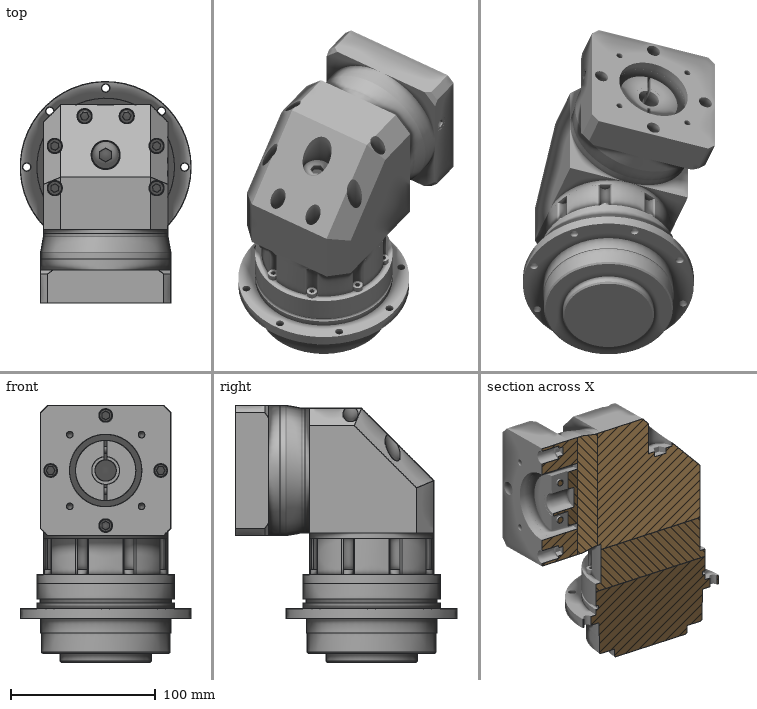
import cadquery as cq
import math


BLOCK_HALF = 43.0
BEVEL_SUM = 36.0
BLOCK_CHAMFER = 12.0
OUTPUT_COLLAR = 4.0
INPUT_COLLAR = 3.0
COLLAR_RADIUS = BLOCK_HALF
PLUG_Y = 8.3
PLUG_DIAMETER = 20.0
PLUG_SOCKET = 8.2
PLUG_TOP_Z = 15.0
HOUSING_SCREW_CIRCLE = 38.0
HOUSING_SCREW_DIAMETER = 10.4
HOUSING_SCREW_TOP_Z = -20.0
INPUT_SIDE_ANGLE = 270.0

RING_TOP_Z = -BLOCK_HALF - OUTPUT_COLLAR
RING_LEDGE_Z = -71.9
RING_BOTTOM_Z = -78.0
SEAL_GROOVE_TOP_Z = -88.8
SEAL_GROOVE_BOTTOM_Z = -91.3
FLANGE_TOP_Z = -95.3
FLANGE_BOTTOM_Z = -102.3
PILOT_BOTTOM_Z = -112.3
CASE_BOTTOM_Z = -126.3
OUTPUT_END_Z = -132.5

BODY_RADIUS = 47.5
SEAL_GROOVE_RADIUS = 45.3
FLANGE_RADIUS = 59.0
PILOT_RADIUS = 45.0
CASE_RADIUS = 44.5
OUTPUT_RADIUS = 31.5
OUTPUT_CHAMFER = 1.0

FLANGE_HOLE_COUNT = 8
FLANGE_HOLE_CIRCLE = 54.5
FLANGE_HOLE_DIAMETER = 5.5

RING_SCREW_COUNT = 8
RING_SCREW_CIRCLE = 42.0
RING_SCREW_DIAMETER = 7.0
RING_SCREW_HEIGHT = 3.7
RING_SCREW_SOCKET = 3.4
FLUTE_WIDTH = 7.6
FLUTE_MOUTH = 9.8

ADAPTER_BACK_Y = -BLOCK_HALF - INPUT_COLLAR
TAPER_START_Y = -48.0
TAPER_END_Y = -59.0
PLATE_BACK_Y = -63.4
SQUARE_BACK_Y = -71.0
PLATE_FRONT_Y = -94.0

PLATE_HALF = 45.0
PLATE_CORNER = 5.0
PLATE_BACK_CHAMFER = 2.7
MOTOR_PILOT_RADIUS = 25.0
MOTOR_PILOT_DEPTH = 7.0
MOTOR_BORE_RADIUS = 24.95
HUB_RADIUS = 20.8
HUB_RECESS = 9.5
HUB_FRONT_Y = PLATE_FRONT_Y + HUB_RECESS
PLATE_SCREW_CIRCLE = 38.0
PLATE_SCREW_DIAMETER = 9.4
PLATE_SCREW_DEPTH = 14.0
MOTOR_HOLE_CIRCLE = 35.0
MOTOR_HOLE_DIAMETER = 4.5
MOTOR_HOLE_DEPTH = 12.0
DIAGONAL = 45.0
DRILL_POINT_ANGLE = 118.0
SIDE_PLUG_DIAMETER = 10.4
SIDE_PLUG_RECESS = 0.1
SIDE_PLUG_SOCKET = 5.6
SOCKET_SIZE = 5.2

SLEEVE_RADIUS = 9.6
SLEEVE_RECESS = 0.1
BORE_RADIUS = 7.35
BORE_DEPTH = 18.0
SLIT_WIDTH = 2.0
SLIT_DEPTH = 13.0
CLAMP_SCREW_Y = -78.0
CLAMP_SCREW_Z = 14.2
CLAMP_SCREW_DIAMETER = 5.0

HEAD_CHAMFER = 0.5
SOCKET_DEPTH = 4.0
CLEARANCE = 1.0


def output_disc(bottom_z, top_z, radius):
    """Cylinder on the output axis from bottom_z to top_z."""
    return cq.Workplane("XY", origin=(0, 0, bottom_z)).circle(radius).extrude(top_z - bottom_z)


def input_disc(back_y, front_y, radius):
    """Cylinder on the input axis from back_y to front_y."""
    return cq.Workplane("XZ", origin=(0, back_y, 0)).circle(radius).extrude(back_y - front_y)


def screw_recess(diameter, depth, socket_size):
    """Tool that sinks a socket screw: its head lies at the origin and the recess rises along +Z."""
    radius = diameter / 2
    bore = (
        cq.Workplane("XZ")
        .polyline([
            (0, 0),
            (radius - HEAD_CHAMFER, 0),
            (radius, -HEAD_CHAMFER),
            (radius, depth),
            (0, depth),
        ])
        .close()
        .revolve(360, (0, 0), (0, 1))
    )
    return bore.union(hex_socket(socket_size))


def hex_socket(size):
    """Hexagonal prism, size across its flats, that runs down from the origin."""
    across_corners = size / math.cos(math.pi / 6)
    return cq.Workplane("XY").polygon(6, across_corners).extrude(-SOCKET_DEPTH)


def drilled_hole(diameter, depth):
    """Blind hole tool that runs down from the origin and ends in a drill point."""
    radius = diameter / 2
    point = radius / math.tan(math.radians(DRILL_POINT_ANGLE / 2))
    return (
        cq.Workplane("XZ")
        .polyline([(0, 0), (radius, 0), (radius, -depth), (0, -depth - point)])
        .close()
        .revolve(360, (0, 0), (0, 1))
    )


def facing_input(tool):
    """Turn a tool from the Z axis so that its +Z side faces -Y."""
    return tool.rotate((0, 0, 0), (1, 0, 0), 90)


def screw_angles(count):
    """Angles of an even circle of screws that straddles the X and Y axes."""
    pitch = 360.0 / count
    return [pitch * (i + 0.5) for i in range(count)]


def make_angle_housing():
    half = BLOCK_HALF
    bevel_end = BEVEL_SUM - half
    block = (
        cq.Workplane("YZ", origin=(-half, 0, 0))
        .polyline([(-half, -half), (half, -half), (half, bevel_end), (bevel_end, half), (-half, half)])
        .close()
        .extrude(2 * half)
    )
    rim = []
    for side in ("<X", ">X"):
        for edge in block.faces(side).edges().vals():
            middle = edge.Center()
            if middle.y + middle.z > CLEARANCE:
                rim.append(edge)
    block = block.newObject(rim).chamfer(BLOCK_CHAMFER)

    output_collar = output_disc(RING_TOP_Z, -half, COLLAR_RADIUS)
    input_collar = input_disc(-half, ADAPTER_BACK_Y, COLLAR_RADIUS)
    housing = block.union(output_collar).union(input_collar)

    plug_recess = screw_recess(PLUG_DIAMETER, half - PLUG_TOP_Z, PLUG_SOCKET)
    plug_recess = plug_recess.rotate((0, 0, 0), (0, 0, 1), 90)
    housing = housing.cut(plug_recess.translate((0, PLUG_Y, PLUG_TOP_Z)))

    recess_depth = half - HOUSING_SCREW_TOP_Z + CLEARANCE
    recess = screw_recess(HOUSING_SCREW_DIAMETER, recess_depth, SOCKET_SIZE)
    recess = recess.translate((HOUSING_SCREW_CIRCLE, 0, HOUSING_SCREW_TOP_Z))
    for angle in screw_angles(RING_SCREW_COUNT):
        on_input_side = abs(angle - INPUT_SIDE_ANGLE) < 360 / RING_SCREW_COUNT
        if not on_input_side:
            housing = housing.cut(recess.rotate((0, 0, 0), (0, 0, 1), angle))
    return housing


def make_flute():
    """Cutter for one flute on the +X side: a round groove with bevelled lips."""
    length = RING_TOP_Z - RING_LEDGE_Z
    plane = cq.Workplane("XY", origin=(0, 0, RING_LEDGE_Z))
    groove = plane.center(RING_SCREW_CIRCLE, 0).circle(FLUTE_WIDTH / 2).extrude(length)
    mouth_x = math.sqrt(COLLAR_RADIUS**2 - (FLUTE_MOUTH / 2) ** 2)
    outer_x = COLLAR_RADIUS + CLEARANCE
    lips = (
        plane.polyline([
            (RING_SCREW_CIRCLE, -FLUTE_WIDTH / 2),
            (mouth_x, -FLUTE_MOUTH / 2),
            (outer_x, -FLUTE_MOUTH / 2),
            (outer_x, FLUTE_MOUTH / 2),
            (mouth_x, FLUTE_MOUTH / 2),
            (RING_SCREW_CIRCLE, FLUTE_WIDTH / 2),
        ])
        .close()
        .extrude(length)
    )
    return groove.union(lips)


def make_ring_gear():
    base = output_disc(RING_BOTTOM_Z, RING_LEDGE_Z, BODY_RADIUS)
    neck = output_disc(RING_LEDGE_Z, RING_TOP_Z, COLLAR_RADIUS)
    ring = base.union(neck)

    flute = make_flute()
    head = (
        cq.Workplane("XY", origin=(RING_SCREW_CIRCLE, 0, RING_LEDGE_Z))
        .circle(RING_SCREW_DIAMETER / 2)
        .extrude(RING_SCREW_HEIGHT)
    )
    socket = hex_socket(RING_SCREW_SOCKET)
    socket = socket.translate((RING_SCREW_CIRCLE, 0, RING_LEDGE_Z + RING_SCREW_HEIGHT))
    for angle in screw_angles(RING_SCREW_COUNT):
        axis = ((0, 0, 0), (0, 0, 1), angle)
        ring = ring.cut(flute.rotate(*axis)).union(head.rotate(*axis)).cut(socket.rotate(*axis))
    return ring


def make_output_housing():
    case_chamfer_z = CASE_BOTTOM_Z + OUTPUT_CHAMFER
    end_chamfer_z = OUTPUT_END_Z + OUTPUT_CHAMFER
    housing = (
        cq.Workplane("XZ")
        .polyline([
            (0, RING_BOTTOM_Z),
            (BODY_RADIUS, RING_BOTTOM_Z),
            (BODY_RADIUS, SEAL_GROOVE_TOP_Z),
            (SEAL_GROOVE_RADIUS, SEAL_GROOVE_TOP_Z),
            (SEAL_GROOVE_RADIUS, SEAL_GROOVE_BOTTOM_Z),
            (BODY_RADIUS, SEAL_GROOVE_BOTTOM_Z),
            (BODY_RADIUS, FLANGE_TOP_Z),
            (FLANGE_RADIUS, FLANGE_TOP_Z),
            (FLANGE_RADIUS, FLANGE_BOTTOM_Z),
            (PILOT_RADIUS, FLANGE_BOTTOM_Z),
            (PILOT_RADIUS, PILOT_BOTTOM_Z),
            (CASE_RADIUS, PILOT_BOTTOM_Z),
            (CASE_RADIUS, case_chamfer_z),
            (CASE_RADIUS - OUTPUT_CHAMFER, CASE_BOTTOM_Z),
            (OUTPUT_RADIUS, CASE_BOTTOM_Z),
            (OUTPUT_RADIUS, end_chamfer_z),
            (OUTPUT_RADIUS - OUTPUT_CHAMFER, OUTPUT_END_Z),
            (0, OUTPUT_END_Z),
        ])
        .close()
        .revolve(360, (0, 0), (0, 1))
    )
    holes = (
        cq.Workplane("XY", origin=(0, 0, FLANGE_TOP_Z))
        .polarArray(FLANGE_HOLE_CIRCLE, 0, 360, FLANGE_HOLE_COUNT)
        .circle(FLANGE_HOLE_DIAMETER / 2)
        .extrude(FLANGE_BOTTOM_Z - FLANGE_TOP_Z)
    )
    return housing.cut(holes)


def make_input_adapter():
    return (
        cq.Workplane("XY")
        .polyline([
            (0, ADAPTER_BACK_Y),
            (COLLAR_RADIUS, ADAPTER_BACK_Y),
            (COLLAR_RADIUS, TAPER_START_Y),
            (PLATE_HALF, TAPER_END_Y),
            (PLATE_HALF, PLATE_BACK_Y),
            (0, PLATE_BACK_Y),
        ])
        .close()
        .revolve(360, (0, 0), (0, 1))
    )


def make_motor_plate():
    square = (
        cq.Workplane("XZ", origin=(0, SQUARE_BACK_Y, 0))
        .rect(2 * PLATE_HALF, 2 * PLATE_HALF)
        .extrude(SQUARE_BACK_Y - PLATE_FRONT_Y)
        .edges("|Y")
        .chamfer(PLATE_CORNER)
    )
    corner_edges = [
        edge
        for edge in square.faces(">Y").edges().vals()
        if min(abs(edge.Center().x), abs(edge.Center().z)) > PLATE_HALF / 2
    ]
    square = square.newObject(corner_edges).chamfer(PLATE_BACK_CHAMFER)
    plate = square.union(input_disc(PLATE_BACK_Y, SQUARE_BACK_Y, PLATE_HALF))

    opening = (
        cq.Workplane("XY")
        .polyline([
            (0, PLATE_FRONT_Y),
            (MOTOR_PILOT_RADIUS, PLATE_FRONT_Y),
            (MOTOR_PILOT_RADIUS, PLATE_FRONT_Y + MOTOR_PILOT_DEPTH),
            (MOTOR_BORE_RADIUS, PLATE_FRONT_Y + MOTOR_PILOT_DEPTH),
            (MOTOR_BORE_RADIUS, PLATE_BACK_Y),
            (0, PLATE_BACK_Y),
        ])
        .close()
        .revolve(360, (0, 0), (0, 1))
    )
    plate = plate.cut(opening)

    screw = facing_input(screw_recess(PLATE_SCREW_DIAMETER, PLATE_SCREW_DEPTH, SOCKET_SIZE))
    screw = screw.translate((PLATE_SCREW_CIRCLE, PLATE_FRONT_Y + PLATE_SCREW_DEPTH, 0))
    motor_hole = facing_input(drilled_hole(MOTOR_HOLE_DIAMETER, MOTOR_HOLE_DEPTH))
    motor_hole = motor_hole.translate((MOTOR_HOLE_CIRCLE, PLATE_FRONT_Y, 0))
    for quarter in range(4):
        turn = 90 * quarter
        plate = plate.cut(screw.rotate((0, 0, 0), (0, 1, 0), turn))
        plate = plate.cut(motor_hole.rotate((0, 0, 0), (0, 1, 0), turn + DIAGONAL))

    return plate.cut(side_plug_recess())


def side_plug_recess():
    """Tool for the almost flush plug in the -X side, in line with the clamp screw."""
    disc = cq.Workplane("XY").circle(SIDE_PLUG_DIAMETER / 2).extrude(SIDE_PLUG_RECESS)
    recess = disc.union(hex_socket(SIDE_PLUG_SOCKET)).rotate((0, 0, 0), (0, 1, 0), -90)
    return recess.translate((-PLATE_HALF + SIDE_PLUG_RECESS, CLAMP_SCREW_Y, CLAMP_SCREW_Z))


def make_clamp_hub():
    hub = input_disc(PLATE_BACK_Y, HUB_FRONT_Y, HUB_RADIUS)
    slit = cq.Workplane("XY").box(SLIT_WIDTH, SLIT_DEPTH, 2 * HUB_RADIUS)
    hub = hub.cut(slit.translate((0, HUB_FRONT_Y + SLIT_DEPTH / 2, 0)))
    for z in (-CLAMP_SCREW_Z, CLAMP_SCREW_Z):
        shank = (
            cq.Workplane("YZ", origin=(-SLIT_WIDTH / 2, CLAMP_SCREW_Y, z))
            .circle(CLAMP_SCREW_DIAMETER / 2)
            .extrude(SLIT_WIDTH)
        )
        hub = hub.union(shank)

    sleeve_front_y = HUB_FRONT_Y + SLEEVE_RECESS
    sleeve = input_disc(PLATE_BACK_Y, sleeve_front_y, SLEEVE_RADIUS)
    sleeve_slit = slit.translate((0, sleeve_front_y + SLIT_DEPTH / 2, HUB_RADIUS))
    hub = hub.cut(input_disc(sleeve_front_y, HUB_FRONT_Y, SLEEVE_RADIUS))
    hub = hub.union(sleeve.cut(sleeve_slit))
    return hub.cut(input_disc(HUB_FRONT_Y + BORE_DEPTH, HUB_FRONT_Y, BORE_RADIUS))


angle_housing = make_angle_housing()
ring_gear = make_ring_gear()
output_housing = make_output_housing()
input_adapter = make_input_adapter()
motor_plate = make_motor_plate()
clamp_hub = make_clamp_hub()

result = cq.Compound.makeCompound([
    angle_housing.val(),
    ring_gear.val(),
    output_housing.val(),
    input_adapter.val(),
    motor_plate.val(),
    clamp_hub.val(),
])